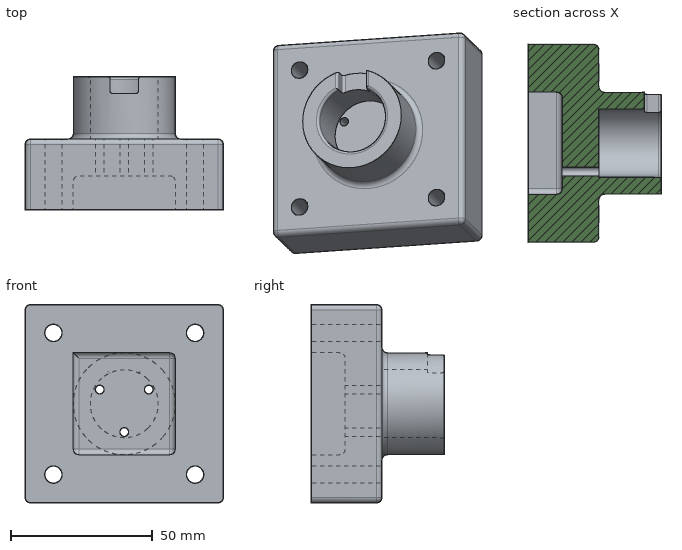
import cadquery as cq

block_side = 70.0
block_depth = 25.0
block_edge_radius = 2.0

boss_diameter = 36.0
boss_length = 22.0
boss_root_radius = 2.0
tip_y = block_depth + boss_length

bore_diameter = 24.0
bore_depth = boss_length
bore_rim_radius = 1.0

notch_width = 10.0
notch_depth = 6.0
notch_corner_radius = 1.0

pocket_side = 36.0
pocket_depth = 12.0
pocket_radius = 2.0

mount_hole_diameter = 6.0
mount_hole_spacing = 50.0

pin_hole_diameter = 3.0
pin_circle_radius = 10.0
pin_count = 3
first_pin_angle = 30.0

full_turn = 360.0


def front_plane():
    """Workplane on the front face: local axes +X and +Z, normal along -Y (out of the block)."""
    return cq.Workplane("XZ")


def make_block():
    block = front_plane().rect(block_side, block_side).extrude(-block_depth)
    block = block.edges("|Y").fillet(block_edge_radius)
    return block.faces(">Y").edges().fillet(block_edge_radius)


def add_boss(block):
    """Fuse the boss to the block and round the circle where it meets the back face."""
    boss = front_plane().circle(boss_diameter / 2).extrude(-tip_y)
    root_center = (0, block_depth, 0)
    root_circle = block.union(boss).edges("%CIRCLE").edges(cq.NearestToPointSelector(root_center))
    return root_circle.fillet(boss_root_radius)


def make_bore():
    """Bore cutter that flares out at the tip, leaving a rounded rim."""
    radius = bore_diameter / 2
    floor_y = tip_y - bore_depth
    return (
        cq.Workplane("YZ")
        .moveTo(floor_y, 0)
        .lineTo(floor_y, radius)
        .lineTo(tip_y - bore_rim_radius, radius)
        .radiusArc((tip_y, radius + bore_rim_radius), -bore_rim_radius)
        .lineTo(tip_y, 0)
        .close()
        .revolve(full_turn, (0, 0, 0), (1, 0, 0))
    )


def make_notch():
    """Notch cutter with rounded floor corners and rounded lips at the tip."""
    half = notch_width / 2
    r = notch_corner_radius
    floor_y = tip_y - notch_depth
    return (
        cq.Workplane("XY")
        .moveTo(-half + r, floor_y)
        .lineTo(half - r, floor_y)
        .radiusArc((half, floor_y + r), -r)
        .lineTo(half, tip_y - r)
        .radiusArc((half + r, tip_y), r)
        .lineTo(-half - r, tip_y)
        .radiusArc((-half, tip_y - r), r)
        .lineTo(-half, floor_y + r)
        .radiusArc((-half + r, floor_y), -r)
        .close()
        .extrude(boss_diameter / 2)
    )


def make_pocket():
    """Pocket cutter with a rounded floor; its -X, +Z corner stays sharp."""
    pocket = front_plane().rect(pocket_side, pocket_side).extrude(-pocket_depth)
    rounded_corners = pocket.edges("|Y").edges(">X or <Z")
    pocket = rounded_corners.fillet(pocket_radius)
    return pocket.faces(">Y").edges().fillet(pocket_radius)


def make_mount_holes():
    return (
        front_plane()
        .rect(mount_hole_spacing, mount_hole_spacing, forConstruction=True)
        .vertices()
        .circle(mount_hole_diameter / 2)
        .extrude(-block_depth)
    )


def make_pin_holes():
    return (
        front_plane()
        .polarArray(pin_circle_radius, first_pin_angle, full_turn, pin_count)
        .circle(pin_hole_diameter / 2)
        .extrude(-tip_y)
    )


part = add_boss(make_block())
for cutter in (make_bore(), make_notch(), make_pocket(), make_mount_holes(), make_pin_holes()):
    part = part.cut(cutter)

result = part.solids()